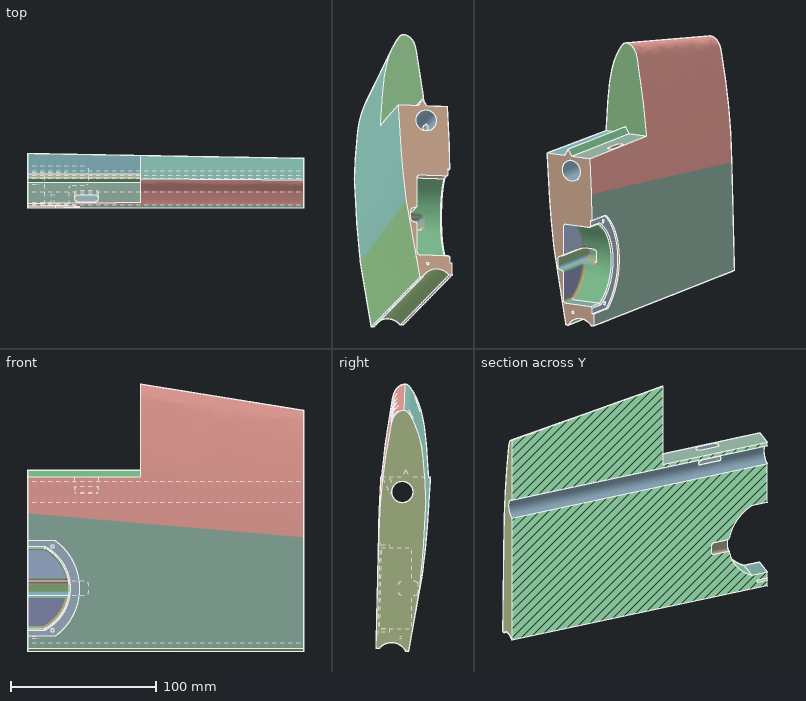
import cadquery as cq
import math

span = 190.0
nose_x = 77.5
shelf_z = 120.0
root_chord = 196.6
tip_chord = 166.0
hinge_front_z = 2.3
tail_thickness = 22.6
seam_y = 2.0
root_seam_z = 95.0
tip_seam_z = 78.5

rear_skin = [
    (0.27, 32.1, 30.2),
    (0.40, 35.0, 32.3),
    (0.52, 36.7, 33.6),
    (0.63, 37.8, 34.4),
    (0.76, 36.5, 33.0),
    (0.87, 33.8, 30.8),
    (0.945, 29.5, 26.6),
    (0.98, 25.5, 23.5),
    (1.0, 20.7, 19.4),
]
front_skin = [
    (0.985, 15.0, 13.9),
    (0.93, 11.2, 10.3),
    (0.81, 7.6, 6.8),
    (0.65, 4.0, 3.6),
]


def wing_section(x, chord, seam_z, column):
    """Closed section at one X; column picks the root or tip Y values."""
    rear = [(row[column], row[0] * chord) for row in rear_skin]
    front = [(row[column], row[0] * chord) for row in front_skin]
    up_rear = (0.12, 1)
    over_nose = (-1, 0)
    down_front = (-0.02, -1)
    front.append((seam_y, seam_z))
    return (
        cq.Workplane("YZ", origin=(x, 0, 0))
        .moveTo(tail_thickness, 0)
        .lineTo(*rear[0])
        .spline(rear[1:], tangents=[up_rear, over_nose], scale=False, includeCurrent=True)
        .spline(front, tangents=[over_nose, down_front], scale=False, includeCurrent=True)
        .lineTo(0, hinge_front_z)
        .close()
        .val()
    )


root = wing_section(0, root_chord, root_seam_z, 1)
tip = wing_section(span, tip_chord, tip_seam_z, 2)
wing = cq.Workplane(obj=cq.Solid.makeLoft([root, tip], True))

cut_height = 114.0
cut_depth = 114.0
wing = wing.cut(
    cq.Workplane().box(2 * nose_x, cut_depth, cut_height, centered=(True, True, False))
    .translate((0, 0, shelf_z))
)

ridge_y = 20.7
ridge_width = 5.7
ridge_height = 4.8
ridge = (
    cq.Workplane("YZ")
    .moveTo(ridge_y - ridge_width / 2, shelf_z)
    .lineTo(ridge_y, shelf_z + ridge_height)
    .lineTo(ridge_y + ridge_width / 2, shelf_z)
    .close()
    .extrude(nose_x)
)
wing = wing.union(ridge)

rod_radius = 7.2
rod_y, rod_z = 18.2, 109.8
hinge_radius = 11.0
hinge_y = 10.8
hinge_z = -5.0


def bore_along_x(y, z, radius, depth):
    return cq.Workplane("YZ").center(y, z).circle(radius).extrude(depth)


wing = wing.cut(bore_along_x(rod_y, rod_z, rod_radius, span))
wing = wing.cut(bore_along_x(hinge_y, hinge_z, hinge_radius, span))

pin_y, pin_z = 17.1, 9.7
pin_radius = 0.8
pin_depth = 7.6
wing = wing.cut(bore_along_x(pin_y, pin_z, pin_radius, pin_depth))

pocket_z = 43.5
pocket_overrun = 19.0
floor_y = 24.5
edge_radius = 1.9
rim_chamfer = 1.0
seat_depth = 1.3
seat_clearance = 3.8
face_tilt = math.degrees(math.atan(seam_y / (root_seam_z - hinge_front_z)))
face_y = (pocket_z - hinge_front_z) * math.tan(math.radians(face_tilt))


def d_outline(plane, half_height, arc_x, radius):
    """Flat-sided outline, open to -X, closed by an arc at its +X end."""
    corner_x = arc_x + math.sqrt(radius**2 - half_height**2)
    return (
        plane.moveTo(-pocket_overrun, -half_height)
        .lineTo(corner_x, -half_height)
        .threePointArc((arc_x + radius, 0), (corner_x, half_height))
        .lineTo(-pocket_overrun, half_height)
        .close()
    )


def tilted_plane(depth):
    """Plane parallel to the lower front face; its normal points out of the wing."""
    return (
        cq.Workplane("XZ", origin=(0, face_y + depth, pocket_z))
        .transformed(rotate=(-face_tilt, 0, 0))
    )


seat_half, seat_arc_x, seat_radius = 32.9, -5.0, 40.7
well_half, well_arc_x, well_radius = 28.0, -3.0, 31.5

seat = d_outline(
    tilted_plane(seat_depth), seat_half, seat_arc_x, seat_radius
).extrude(seat_clearance)
rim = d_outline(
    tilted_plane(seat_depth), well_half + rim_chamfer, well_arc_x, well_radius + rim_chamfer
).extrude(-rim_chamfer, taper=45)
well = d_outline(
    cq.Workplane("XZ", origin=(0, floor_y, pocket_z)), well_half, well_arc_x, well_radius
).extrude(floor_y)

channel_half = 5.0
channel_bottom_y = 29.0
channel_front_y = 15.5
channel_end_x = 41.8
channel_fillet = 2.5
channel_depth = channel_bottom_y - channel_front_y
channel = (
    cq.Workplane(origin=(-pocket_overrun, channel_front_y, pocket_z - channel_half))
    .box(channel_end_x + pocket_overrun, channel_depth, 2 * channel_half, centered=False)
    .edges("|X or >X").fillet(channel_fillet)
)
pocket = well.union(channel)

slack = 0.2
wall_end_x = well_arc_x + well_radius
mouth_x = well_arc_x + math.sqrt(well_radius**2 - channel_half**2)
floor_edges = cq.selectors.BoxSelector(
    (-pocket_overrun + slack, floor_y - slack, 0),
    (wall_end_x, floor_y + slack, shelf_z),
)
mouth_edges = cq.selectors.BoxSelector(
    (mouth_x - slack, channel_front_y - slack, 0),
    (wall_end_x + slack, floor_y, shelf_z),
)
pocket = pocket.edges(floor_edges + mouth_edges).fillet(edge_radius)
wing = wing.cut(seat).cut(rim).cut(pocket)

screw_x = 17.1
screw_offset = 28.9
screw_radius = 1.1
screw_depth = 9.5
for side in (-1, 1):
    screw = (
        cq.Workplane("XZ", origin=(screw_x, screw_depth, pocket_z + side * screw_offset))
        .circle(screw_radius)
        .extrude(screw_depth)
    )
    wing = wing.cut(screw)

slot_x, slot_y = 40.5, 6.8
slot_length, slot_width = 16.3, 4.4
slot_slant = 25.0
slot_reach = 11.4
slot_overrun = 3.8
slot = (
    cq.Workplane(origin=(slot_x, slot_y, shelf_z))
    .transformed(rotate=(slot_slant, 0, 0))
    .workplane(offset=slot_overrun)
    .slot2D(slot_length, slot_width)
    .extrude(-slot_reach - slot_overrun)
)
wing = wing.cut(slot)

result = wing